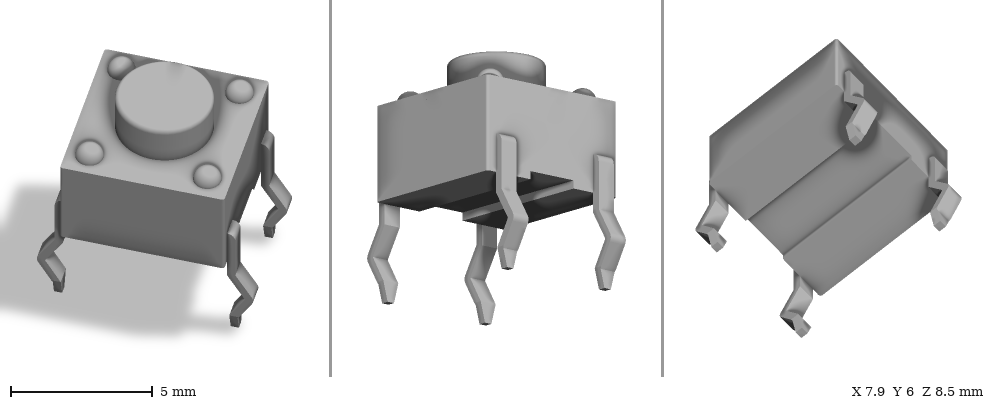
import cadquery as cq
import math

TOTAL_HEIGHT = 8.5
BODY_SIDE = 6.0
BODY_BOTTOM = 3.5
CORNER_RADIUS = 0.1

COVER_TOP = 6.995
COVER_THICKNESS = 0.3
COVER_BOTTOM = COVER_TOP - COVER_THICKNESS

SLOT_WIDTH = 2.0
SLOT_DEPTH = 0.3

DOME_RADIUS = 0.5
DOME_OFFSET = 2.15

BUTTON_DIAMETER = 3.5
BUTTON_HEIGHT = TOTAL_HEIGHT - COVER_TOP
BUTTON_EDGE_RADIUS = 0.2

LEAD_SPAN = 7.9
LEAD_THICKNESS = 0.3
LEAD_WIDTH = 0.7
LEAD_OFFSET_Y = 2.26
LEAD_TOP = 4.9
UPPER_BEND_Z = 2.76
KINK_Z = 1.71
LOWER_BEND_Z = 0.75
FOOT_INNER_X = 3.08
TIP_WIDTH = 0.3
TIP_TAPER_HEIGHT = LOWER_BEND_Z


def rounded_block(bottom, top):
    """Square block of the switch outline with rounded vertical corners."""
    return (
        cq.Workplane("XY")
        .workplane(offset=bottom)
        .rect(BODY_SIDE, BODY_SIDE)
        .extrude(top - bottom)
        .edges("|Z")
        .fillet(CORNER_RADIUS)
    )


def make_housing():
    """Lower block with a shallow slot running along X across its underside."""
    slot = (
        cq.Workplane("XY")
        .workplane(offset=BODY_BOTTOM)
        .rect(BODY_SIDE, SLOT_WIDTH)
        .extrude(SLOT_DEPTH)
    )
    return rounded_block(BODY_BOTTOM, COVER_BOTTOM).cut(slot)


def make_cover():
    """Top plate with a half-ball dome near each corner."""
    domes = (
        cq.Workplane("XY")
        .workplane(offset=COVER_TOP)
        .rect(2 * DOME_OFFSET, 2 * DOME_OFFSET, forConstruction=True)
        .vertices()
        .sphere(DOME_RADIUS)
    )
    upper_half_space = (
        cq.Workplane("XY")
        .workplane(offset=COVER_TOP)
        .rect(BODY_SIDE, BODY_SIDE)
        .extrude(DOME_RADIUS)
    )
    return rounded_block(COVER_BOTTOM, COVER_TOP).union(domes.intersect(upper_half_space))


def make_button():
    """Round push button standing on the cover, with a rounded top rim."""
    return (
        cq.Workplane("XY")
        .workplane(offset=COVER_TOP)
        .circle(BUTTON_DIAMETER / 2)
        .extrude(BUTTON_HEIGHT)
        .faces(">Z")
        .edges()
        .fillet(BUTTON_EDGE_RADIUS)
    )


def make_lead():
    """Bent strip against the +X wall, centred on Y = 0, with a tapered foot."""
    wall_x = BODY_SIDE / 2
    outer_x = wall_x + LEAD_THICKNESS
    kink_x = LEAD_SPAN / 2 - LEAD_THICKNESS
    foot_outer_x = FOOT_INNER_X + LEAD_THICKNESS

    upper_lean = math.atan2(kink_x - wall_x, UPPER_BEND_Z - KINK_Z)
    lower_lean = math.atan2(kink_x - FOOT_INNER_X, KINK_Z - LOWER_BEND_Z)

    upper_outer_z = UPPER_BEND_Z + LEAD_THICKNESS * math.tan(upper_lean / 2)
    lower_outer_z = LOWER_BEND_Z - LEAD_THICKNESS * math.tan(lower_lean / 2)

    def around_kink(angle):
        """Point on the outer bend arc, which is centred on the inner kink corner."""
        return (
            kink_x + LEAD_THICKNESS * math.cos(angle),
            KINK_Z + LEAD_THICKNESS * math.sin(angle),
        )

    crown_diagonal = LEAD_THICKNESS * math.sqrt(0.5)
    crown_centre_z = LEAD_TOP - LEAD_THICKNESS

    strip = (
        cq.Workplane("XZ")
        .moveTo(wall_x, LEAD_TOP)
        .threePointArc(
            (wall_x + crown_diagonal, crown_centre_z + crown_diagonal),
            (outer_x, crown_centre_z),
        )
        .lineTo(outer_x, upper_outer_z)
        .lineTo(*around_kink(upper_lean))
        .threePointArc(around_kink(0), around_kink(-lower_lean))
        .lineTo(foot_outer_x, lower_outer_z)
        .lineTo(foot_outer_x, 0)
        .lineTo(FOOT_INNER_X, 0)
        .lineTo(FOOT_INNER_X, LOWER_BEND_Z)
        .lineTo(kink_x, KINK_Z)
        .lineTo(wall_x, UPPER_BEND_Z)
        .close()
        .extrude(LEAD_WIDTH / 2, both=True)
    )

    width_outline = (
        cq.Workplane("YZ")
        .moveTo(-TIP_WIDTH / 2, 0)
        .lineTo(TIP_WIDTH / 2, 0)
        .lineTo(LEAD_WIDTH / 2, TIP_TAPER_HEIGHT)
        .lineTo(LEAD_WIDTH / 2, LEAD_TOP)
        .lineTo(-LEAD_WIDTH / 2, LEAD_TOP)
        .lineTo(-LEAD_WIDTH / 2, TIP_TAPER_HEIGHT)
        .close()
        .extrude(LEAD_SPAN)
    )
    return strip.intersect(width_outline)


def place_leads():
    """Two leads on the +X wall and two on the -X wall."""
    lead = make_lead()
    placed = []
    for turn in (0, 180):
        for y in (-LEAD_OFFSET_Y, LEAD_OFFSET_Y):
            placed.append(lead.translate((0, y, 0)).rotate((0, 0, 0), (0, 0, 1), turn))
    return placed


housing = make_housing()
cover = make_cover()
button = make_button()
leads = place_leads()

result = cq.Compound.makeCompound(
    [
        *housing.solids().vals(),
        *cover.solids().vals(),
        *button.solids().vals(),
        *[solid for lead in leads for solid in lead.solids().vals()],
    ]
)